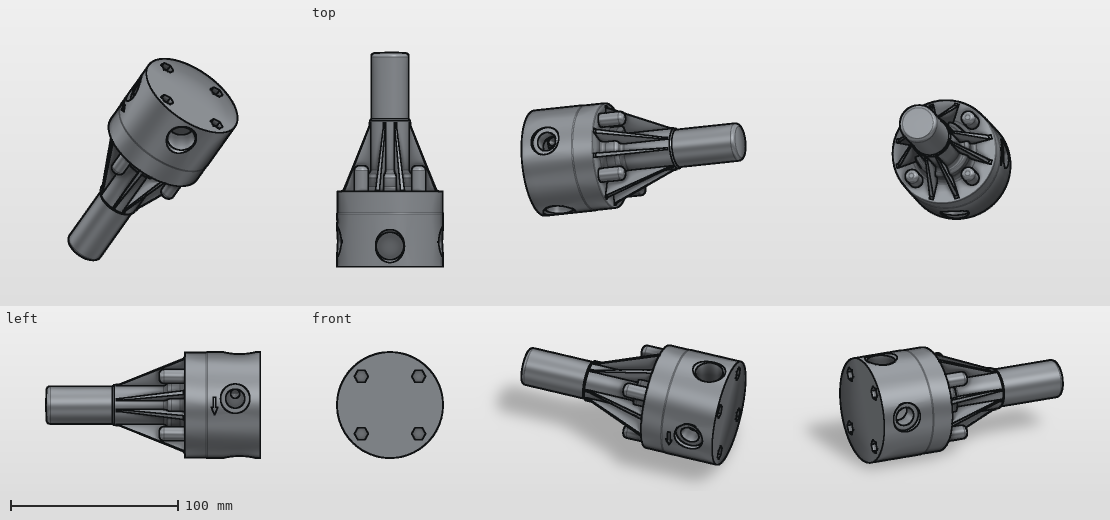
import cadquery as cq
import math

total_length = 128.3

body_radius = 31.75
body_end = 32.6
body_bevel_length = 0.8
flange_radius = 31.5
flange_end = 45.2
flange_edge_round = 0.4
hub_radius = 16.8
hub_foot_round = 3.0
hub_top = 55.7
tube_radius = 12.2
collar_end = 87.2
shaft_radius = 22.7 / 2
shaft_start = 88.4
end_dome_height = 0.6
end_round = 2.2
hub_round = (hub_radius - tube_radius) / 2

rib_side_count = 4
rib_half_angle = 15.2
rib_top = 86.1
rib_slope_top = 84.2
rib_slope_bottom = 45.9
rib_top_radius = 12.7
rib_bottom_radius = 28.5
rib_foot_radius = 29.9
rib_root_radius = 10.3
rib_top_width = 1.2
rib_bottom_width = 2.5

bolt_offset = 17.13
bolt_diameter = 8.3
bolt_end = 60.4
bolt_round = 2.7
hex_across_corners = 8.3
hex_depth = 3.8

main_port_y = 12.5
main_port_diameter = 16.5
main_port_depth = 18.0
main_port_mouth_diameter = 19.8

side_port_y = 15.0
side_port_z = 3.8
side_recess_diameter = 17.6
side_recess_depth = 3.1
side_bore_diameter = 11.4
side_bore_depth = 12.8
drill_diameter = 5.5
drill_depth = 14.1
drill_point_angle = 118.0

arrow_y = 27.3
arrow_top_z = 4.6
arrow_neck_z = -1.4
arrow_tip_z = -5.9
arrow_shaft_width = 1.7
arrow_head_width = 3.8
arrow_depth = 0.3

bolt_overlap = 1.3
rim_pick_margin = 0.1


def turned_body():
    """Body, flange, hub, tube and domed shaft in one revolved outline (radius, Y)."""
    dome_edge = total_length - end_dome_height
    dome_radius = (shaft_radius**2 + end_dome_height**2) / (2 * end_dome_height)
    outline = (
        cq.Workplane("XY")
        .lineTo(body_radius, 0)
        .lineTo(body_radius, body_end - body_bevel_length)
        .lineTo(flange_radius, body_end)
        .lineTo(flange_radius, flange_end - flange_edge_round)
        .radiusArc((flange_radius - flange_edge_round, flange_end), -flange_edge_round)
        .lineTo(hub_radius + hub_foot_round, flange_end)
        .radiusArc((hub_radius, flange_end + hub_foot_round), hub_foot_round)
        .lineTo(hub_radius, hub_top - hub_round)
        .radiusArc((hub_radius - hub_round, hub_top), -hub_round)
        .radiusArc((tube_radius, hub_top + hub_round), hub_round)
        .lineTo(tube_radius, collar_end)
        .lineTo(shaft_radius, shaft_start)
        .lineTo(shaft_radius, dome_edge)
        .radiusArc((0, total_length), -dome_radius)
        .close()
    )
    turned = outline.revolve(360, (0, 0, 0), (0, 1, 0))
    dome_rim = cq.selectors.BoxSelector(
        (-body_radius, dome_edge - rim_pick_margin, -body_radius),
        (body_radius, dome_edge + rim_pick_margin, body_radius),
        boundingbox=True,
    )
    return turned.edges(dome_rim).fillet(end_round)


def rib():
    """One rib on the +X side, thicker towards the outside and sloping down to the flange."""
    side_profile = (
        cq.Workplane("XY")
        .polyline([
            (rib_root_radius, flange_end),
            (rib_foot_radius, flange_end),
            (rib_bottom_radius, rib_slope_bottom),
            (rib_top_radius, rib_slope_top),
            (rib_top_radius, rib_top),
            (rib_root_radius, rib_top),
        ])
        .close()
        .extrude(rib_bottom_width, both=True)
    )
    width_growth = (rib_bottom_width - rib_top_width) / (rib_bottom_radius - rib_top_radius)
    root_half = (rib_top_width - width_growth * (rib_top_radius - rib_root_radius)) / 2
    foot_half = (rib_bottom_width + width_growth * (rib_foot_radius - rib_bottom_radius)) / 2
    plan = (
        cq.Workplane("XZ")
        .polyline([
            (rib_root_radius, -root_half),
            (rib_foot_radius, -foot_half),
            (rib_foot_radius, foot_half),
            (rib_root_radius, root_half),
        ])
        .close()
        .extrude(-total_length)
    )
    return side_profile.intersect(plan)


def bolt(x, z):
    """Bolt end standing out of the flange, with a rounded tip."""
    return (
        cq.Workplane("XZ", origin=(x, flange_end - bolt_overlap, z))
        .circle(bolt_diameter / 2)
        .extrude(flange_end - bolt_overlap - bolt_end)
        .faces(">Y")
        .edges()
        .fillet(bolt_round)
    )


def main_port(side):
    """Round port with a 45 degree countersink at its mouth; side is +1 or -1 along Z."""
    floor = body_radius - main_port_depth
    flare = (main_port_mouth_diameter - main_port_diameter) / 2
    profile = (
        cq.Workplane("XZ", origin=(0, main_port_y, 0))
        .moveTo(0, side * floor)
        .lineTo(main_port_diameter / 2, side * floor)
        .lineTo(main_port_diameter / 2, side * (body_radius - flare))
        .lineTo(main_port_mouth_diameter / 2, side * body_radius)
        .lineTo(0, side * body_radius)
        .close()
    )
    return profile.revolve(360, (0, 0, 0), (0, 1, 0))


def side_hole(side, diameter, depth, z, point_angle=180.0):
    """Blind hole entering along X, with a drill point when the angle is under 180 degrees."""
    radius = diameter / 2
    floor = body_radius - depth
    tip = floor - radius / math.tan(math.radians(point_angle / 2))
    return (
        cq.Workplane("XY", origin=(0, side_port_y, z))
        .moveTo(side * body_radius, 0)
        .lineTo(side * body_radius, radius)
        .lineTo(side * floor, radius)
        .lineTo(side * tip, 0)
        .close()
        .revolve(360, (0, 0, 0), (1, 0, 0))
    )


def side_port(side):
    """Recess, inner bore and an off-centre drilling that touches the top of the bore."""
    drill_z = side_port_z + (side_bore_diameter - drill_diameter) / 2
    recess = side_hole(side, side_recess_diameter, side_recess_depth, side_port_z)
    bore = side_hole(side, side_bore_diameter, side_bore_depth, side_port_z)
    drilling = side_hole(side, drill_diameter, drill_depth, drill_z, drill_point_angle)
    return recess.union(bore).union(drilling)


def flow_arrow():
    """Arrow-shaped groove of even depth in the curved -X side."""
    shaft_half = arrow_shaft_width / 2
    head_half = arrow_head_width / 2
    arrow = (
        cq.Workplane("YZ")
        .polyline([
            (arrow_y - shaft_half, arrow_top_z),
            (arrow_y + shaft_half, arrow_top_z),
            (arrow_y + shaft_half, arrow_neck_z),
            (arrow_y + head_half, arrow_neck_z),
            (arrow_y, arrow_tip_z),
            (arrow_y - head_half, arrow_neck_z),
            (arrow_y - shaft_half, arrow_neck_z),
        ])
        .close()
        .extrude(-body_radius)
    )
    core = cq.Workplane("XZ").circle(body_radius - arrow_depth).extrude(-body_end)
    return arrow.cut(core)


result = turned_body()

for index in range(rib_side_count):
    side_angle = index * 360 / rib_side_count
    for angle in (side_angle - rib_half_angle, side_angle + rib_half_angle):
        result = result.union(rib().rotate((0, 0, 0), (0, 1, 0), angle))

bolt_centres = [(x, z) for x in (-bolt_offset, bolt_offset) for z in (-bolt_offset, bolt_offset)]
for x, z in bolt_centres:
    result = result.union(bolt(x, z))
    hex_socket = cq.Workplane("XZ", origin=(x, 0, z)).polygon(6, hex_across_corners).extrude(-hex_depth)
    result = result.cut(hex_socket)

for side in (-1, 1):
    result = result.cut(main_port(side))
    result = result.cut(side_port(side))

result = result.cut(flow_arrow())